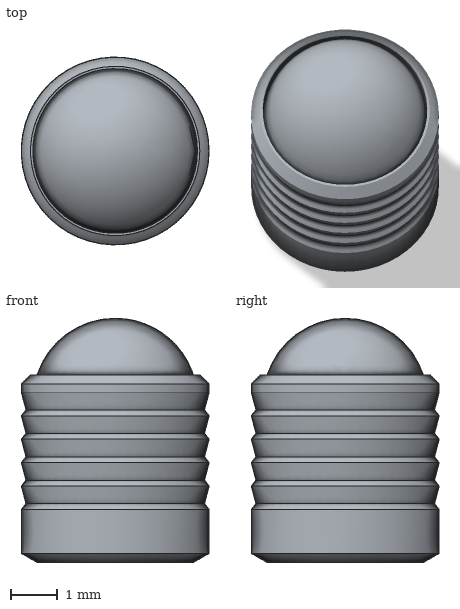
import cadquery as cq

total_height = 5.2
housing_diameter = 4.0
housing_height = 4.0
housing_radius = housing_diameter / 2

rim_chamfer = 0.2
base_chamfer_height = 0.2
base_chamfer_width = 0.345

groove_count = 5
groove_pitch = 0.5
groove_depth = 0.1
first_root_height = 1.255
groove_lower_flank = 0.125
groove_upper_flank = 0.375

ball_radius = 1.75
ball_center_height = total_height - ball_radius


def make_ball():
    return cq.Workplane("XY").sphere(ball_radius).translate((0, 0, ball_center_height))


def make_housing_blank():
    """Revolved outside shape, with the grooves and both edge bevels."""
    root_radius = housing_radius - groove_depth
    outline = [
        (0, 0),
        (housing_radius - base_chamfer_width, 0),
        (housing_radius, base_chamfer_height),
    ]
    first_crest_height = first_root_height - groove_lower_flank
    outline.append((housing_radius, first_crest_height))
    for index in range(groove_count):
        root_height = first_root_height + index * groove_pitch
        outline.append((root_radius, root_height))
        outline.append((housing_radius, root_height + groove_upper_flank))
    outline += [
        (housing_radius, housing_height - rim_chamfer),
        (housing_radius - rim_chamfer, housing_height),
        (0, housing_height),
    ]
    return cq.Workplane("XZ").polyline(outline).close().revolve(360, (0, 0, 0), (0, 1, 0))


def make_ball_socket():
    """Round-bottomed bore: a straight wall down to the ball's equator, then a hemisphere."""
    socket_bottom = ball_center_height - ball_radius
    profile = (
        cq.Workplane("XZ")
        .moveTo(0, socket_bottom)
        .radiusArc((ball_radius, ball_center_height), -ball_radius)
        .lineTo(ball_radius, housing_height)
        .lineTo(0, housing_height)
        .close()
    )
    return profile.revolve(360, (0, 0, 0), (0, 1, 0))


ball = make_ball()
housing = make_housing_blank().cut(make_ball_socket()).solids()

result = cq.Compound.makeCompound([housing.val(), ball.val()])